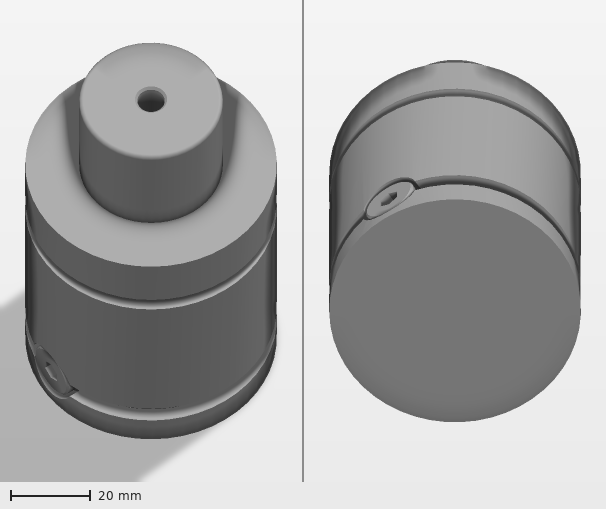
import cadquery as cq
import math

total_height = 102.0
body_radius = 63.0 / 2
body_height = 74.1
rod_radius = 36.0 / 2
rod_fillet = 1.0

base_height = 8.1
base_groove_top = 13.1
base_groove_radius = 28.0

round_groove_height = 57.7
round_groove_radius = 2.0

hole_diameter = 6.8
hole_mouth_diameter = 8.1
hole_depth = 16.3
drill_point_angle = 118.0

plug_height = 10.6
pocket_diameter = 16.0
pocket_floor_distance = 26.8
plug_diameter = 14.0
plug_face_distance = 30.9
plug_chamfer = 0.5
hex_across_flats = 5.0
hex_depth = 3.1


def make_body():
    """Revolve the body, its two grooves and the rod with its rounded end."""
    return (
        cq.Workplane("XZ")
        .lineTo(body_radius, 0)
        .lineTo(body_radius, base_height)
        .lineTo(base_groove_radius, base_height)
        .lineTo(base_groove_radius, base_groove_top)
        .lineTo(body_radius, base_groove_top)
        .lineTo(body_radius, round_groove_height - round_groove_radius)
        .threePointArc(
            (body_radius - round_groove_radius, round_groove_height),
            (body_radius, round_groove_height + round_groove_radius),
        )
        .lineTo(body_radius, body_height)
        .lineTo(rod_radius, body_height)
        .lineTo(rod_radius, total_height - rod_fillet)
        .radiusArc((rod_radius - rod_fillet, total_height), -rod_fillet)
        .lineTo(0, total_height)
        .close()
        .revolve(360, (0, 0, 0), (0, 1, 0))
    )


def make_rod_hole():
    """Revolve a blind hole with a countersunk mouth and a drill point."""
    hole_radius = hole_diameter / 2
    mouth_radius = hole_mouth_diameter / 2
    mouth_depth = mouth_radius - hole_radius
    hole_floor = total_height - hole_depth
    point_depth = hole_radius / math.tan(math.radians(drill_point_angle / 2))
    return (
        cq.Workplane("XZ")
        .moveTo(0, total_height)
        .lineTo(mouth_radius, total_height)
        .lineTo(hole_radius, total_height - mouth_depth)
        .lineTo(hole_radius, hole_floor)
        .lineTo(0, hole_floor - point_depth)
        .close()
        .revolve(360, (0, 0, 0), (0, 1, 0))
    )


def plug_plane(distance):
    """Plane facing -Y on the plug axis, at a distance from the body axis."""
    return cq.Workplane("XZ", origin=(0, -distance, plug_height))


def add_plug(body):
    """Cut the round pocket, stand the plug in it and sink its hexagon socket."""
    pocket_depth = body_radius - pocket_floor_distance
    pocket_cut = plug_plane(pocket_floor_distance).circle(pocket_diameter / 2).extrude(pocket_depth)
    plug = (
        plug_plane(pocket_floor_distance)
        .circle(plug_diameter / 2)
        .extrude(plug_face_distance - pocket_floor_distance)
        .faces("<Y")
        .chamfer(plug_chamfer)
    )
    hex_across_corners = hex_across_flats / math.cos(math.radians(30))
    hex_socket = (
        plug_plane(plug_face_distance)
        .transformed(rotate=(0, 0, 90))
        .polygon(6, hex_across_corners)
        .extrude(-hex_depth)
    )
    return body.cut(pocket_cut).union(plug).cut(hex_socket)


result = add_plug(make_body().cut(make_rod_hole()))